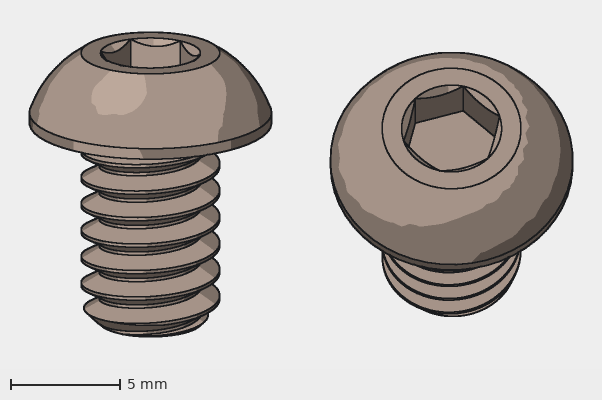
import cadquery as cq
import math

HEAD_RADIUS = 5.55
HEAD_HEIGHT = 3.35
RIM_HEIGHT = 0.5
CROWN_FLAT_RADIUS = 3.18
DOME_BULGE = 0.32

SOCKET_FLATS = 3.97
SOCKET_DEPTH = 2.27
LEAD_IN_ANGLE = 45.0

SHANK_LENGTH = 9.53
MAJOR_DIAMETER = 6.35
THREAD_TURNS = 7.5
TIP_CHAMFER = 0.8
CREST_DROP = 0.88
FLANK_ANGLE = 30.0
CUT_MARGIN = 0.1

MAJOR_RADIUS = MAJOR_DIAMETER / 2
PITCH = SHANK_LENGTH / THREAD_TURNS
CREST_WIDTH = PITCH / 8
ROOT_WIDTH = PITCH / 8
FLANK_SLOPE = math.tan(math.radians(FLANK_ANGLE))
THREAD_DEPTH = (PITCH - CREST_WIDTH - ROOT_WIDTH) / 2 / FLANK_SLOPE
ROOT_RADIUS = MAJOR_RADIUS - THREAD_DEPTH


def socket_cutter():
    """Hexagonal prism with corners on +/-Y, widened at the top by a lead-in cone."""
    corner_radius = SOCKET_FLATS / 2 / math.cos(math.pi / 6)
    floor = HEAD_HEIGHT - SOCKET_DEPTH
    hexagon = (
        cq.Workplane("XY", origin=(0, 0, floor))
        .polygon(6, 2 * corner_radius)
        .extrude(SOCKET_DEPTH)
        .rotate((0, 0, 0), (0, 0, 1), 30)
    )
    inner_radius = corner_radius / 2
    cone_depth = (corner_radius - inner_radius) * math.tan(math.radians(LEAD_IN_ANGLE))
    lead_in = (
        cq.Workplane("XZ")
        .moveTo(0, HEAD_HEIGHT)
        .lineTo(corner_radius, HEAD_HEIGHT)
        .lineTo(inner_radius, HEAD_HEIGHT - cone_depth)
        .lineTo(0, HEAD_HEIGHT - cone_depth)
        .close()
        .revolve(360, (0, 0, 0), (0, 1, 0))
    )
    return hexagon.union(lead_in)


def make_head():
    """Domed button head with a short cylindrical rim and a hexagonal socket."""
    blank = (
        cq.Workplane("XZ")
        .lineTo(HEAD_RADIUS, 0)
        .lineTo(HEAD_RADIUS, RIM_HEIGHT)
        .sagittaArc((CROWN_FLAT_RADIUS, HEAD_HEIGHT), -DOME_BULGE)
        .lineTo(0, HEAD_HEIGHT)
        .close()
        .revolve(360, (0, 0, 0), (0, 1, 0))
    )
    return blank.cut(socket_cutter())


def thread_groove():
    """Right-handed helical groove that runs out past both ends of the shank."""
    spare_turns = 1
    turns = math.ceil(SHANK_LENGTH / PITCH) + spare_turns
    groove_start = -CREST_DROP + PITCH / 2 + (spare_turns - turns) * PITCH
    outer_radius = MAJOR_RADIUS + CUT_MARGIN
    root_half = ROOT_WIDTH / 2
    outer_half = root_half + (outer_radius - ROOT_RADIUS) * FLANK_SLOPE
    helix = cq.Wire.makeHelix(PITCH, turns * PITCH, ROOT_RADIUS)
    groove = (
        cq.Workplane("XZ")
        .moveTo(ROOT_RADIUS, root_half)
        .lineTo(outer_radius, outer_half)
        .lineTo(outer_radius, -outer_half)
        .lineTo(ROOT_RADIUS, -root_half)
        .close()
        .sweep(cq.Workplane(helix), isFrenet=True)
    )
    return groove.translate((0, 0, groove_start))


def make_shank():
    """Chamfered rod with a thread along its full length."""
    rod = (
        cq.Workplane("XY", origin=(0, 0, -SHANK_LENGTH))
        .circle(MAJOR_RADIUS)
        .extrude(SHANK_LENGTH)
        .faces("<Z")
        .chamfer(TIP_CHAMFER)
    )
    return rod.cut(thread_groove())


head = make_head()
shank = make_shank()
result = cq.Compound.makeCompound([*head.solids().vals(), *shank.solids().vals()])